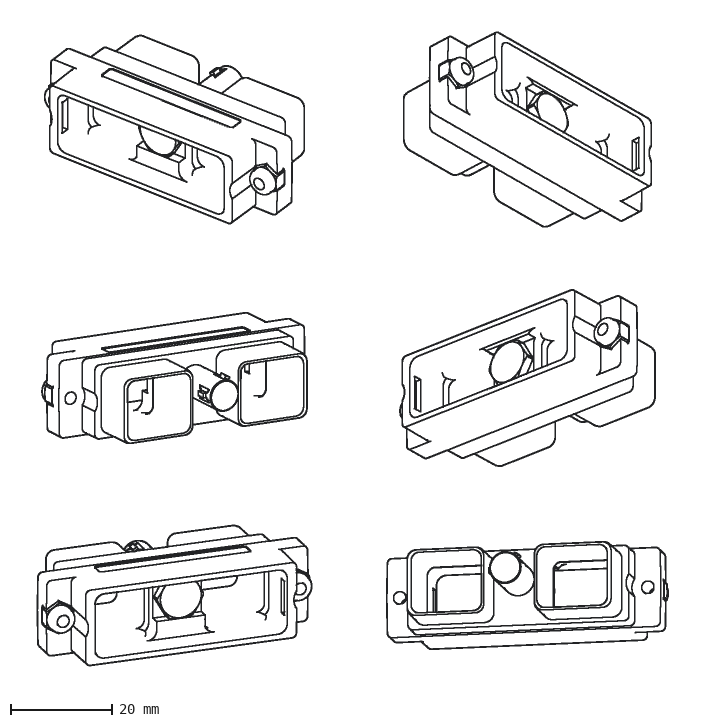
import cadquery as cq
import math


wall_front_y = 5.7
recess_floor_y = 7.75
ear_front_y = 7.7
ear_back_y = 12.7
shoulder_back_y = 17.75
tower_tip_y = 25.9
tower_back_y = 26.6
post_back_y = 30.35

body_half_height = 7.965
shoulder_half_height = 7.6
body_corner_radius = 1.0
body_half_width = 22.35
ear_half_width = 27.65
draft_angle = 1
draft_slope = math.tan(math.radians(draft_angle))

tower_inner_x = 4.95
tower_outer_x = 20.85
tower_half_height = 6.75
tower_corner_radius = 1.95
tower_tip_taper = 15

cavity_half_width = 20.25
cavity_half_height = 6.75
cavity_corner_radius = 1.95
tunnel_inner_x = 5.1
tunnel_center_x = (cavity_half_width + tunnel_inner_x) / 2
tunnel_half_width = (cavity_half_width - tunnel_inner_x) / 2
floor_ramp_y = 7.95
floor_land_y = 9.45
tunnel_taper_y = 10.15
tunnel_bore_y = 11.25
land_half_height = 6.45
bore_inset = 0.5
bore_half_height = 6.1
bore_corner_radius = 1.65

slot_front_y = 1.55
slot_back_y = 3.3
slot_depth = 1.15
slot_half_height = 3.6

bolt_z = 1.5
head_across_flats = 8.6
head_chamfer_width = 0.55
head_chamfer_depth = 0.3
recess_half_height = 4.45
post_radius = 3.15
post_edge_chamfer = 0.15
pin_angles = (0, 120)
pin_y = 27.25
pin_width = 0.95
pin_length = 2.0
pin_tip_radius = 3.7
pin_flat_radius = 2.86
pin_flat_half_width = 1.4
pin_flat_half_length = 2.0
pin_flat_root_half_length = 1.2

fastener_x = 25.0
fastener_hole_radius = 1.25
nut_across_flats = 5.5
nut_pocket_across_flats = 6.0
nut_back_y = 10.05
flange_back_y = 7.1
flange_front_y = 5.2
flange_radius = nut_across_flats / 2
flange_round = 1.0
nut_chamfer_angle = 30
clearance_radius = 3.15

label_length = 31.95
label_width = 3.35
label_center_y = 10.2
label_corner_radius = 0.5
label_depth = 0.2


def plane_at(y, x=0, z=0):
    """Sketch plane facing +Y; its local x is -X, its local y is Z."""
    return cq.Workplane(cq.Plane(origin=(x, y, z), xDir=(-1, 0, 0), normal=(0, 1, 0)))


def box(x0, x1, y0, y1, z0, z1):
    return cq.Workplane("XY").box(x1 - x0, y1 - y0, z1 - z0, centered=False).translate((x0, y0, z0))


def both_sides(shape):
    return shape.union(shape.mirror("YZ"))


def rounded_plan(points, half_height, radius):
    """Plan outline extruded about z = 0 with its long slanted or Y edges rounded."""
    block = cq.Workplane("XY").workplane(offset=-half_height).polyline(points).close()
    return block.extrude(2 * half_height).edges("not (|X or |Z)").fillet(radius)


def drafted_block(wide_y, narrow_y, half_height):
    """Body section that narrows away from the ears."""
    narrow_half_width = body_half_width - draft_slope * abs(narrow_y - wide_y)
    points = [
        (-body_half_width, wide_y),
        (body_half_width, wide_y),
        (narrow_half_width, narrow_y),
        (-narrow_half_width, narrow_y),
    ]
    return rounded_plan(points, half_height, body_corner_radius)


def ears():
    """Flange with side faces drafted from a parting line at z = 0."""
    corner_x = ear_half_width - draft_slope * body_half_height
    points = [
        (ear_half_width, 0),
        (corner_x, body_half_height),
        (-corner_x, body_half_height),
        (-ear_half_width, 0),
        (-corner_x, -body_half_height),
        (corner_x, -body_half_height),
    ]
    block = plane_at(ear_front_y).polyline(points).close().extrude(ear_back_y - ear_front_y)
    return block.faces(">Z or <Z").edges("|Y").fillet(body_corner_radius)


def tower():
    """Tower on the +X side, before its tunnel is cut."""
    tip_outer_x = tower_outer_x - draft_slope * (tower_tip_y - shoulder_back_y)
    points = [
        (tower_inner_x, shoulder_back_y),
        (tower_outer_x, shoulder_back_y),
        (tip_outer_x, tower_tip_y),
        (tower_inner_x, tower_tip_y),
    ]
    shaft = rounded_plan(points, tower_half_height, tower_corner_radius)
    tip = shaft.faces(">Y").wires().toPending().workplane().extrude(
        tower_back_y - tower_tip_y, taper=tower_tip_taper, combine=False
    )
    return shaft.union(tip)


def tunnel_segment(start_y, end_y, half_width, half_height, radius):
    segment = plane_at(start_y, x=tunnel_center_x).rect(2 * half_width, 2 * half_height)
    return segment.extrude(end_y - start_y).edges("|Y").fillet(radius)


def tunnel():
    """Passage through the +X tower: a wide mouth tapering to a straight bore, with ramped floor and roof."""
    mouth = tunnel_segment(0, tunnel_taper_y, tunnel_half_width, cavity_half_height, cavity_corner_radius)
    bore_half_width = tunnel_half_width - bore_inset
    bore = tunnel_segment(tunnel_bore_y, tower_back_y, bore_half_width, bore_half_height, bore_corner_radius)
    taper_ends = [mouth.faces(">Y").wires().val(), bore.faces("<Y").wires().val()]
    taper = cq.Workplane(cq.Solid.makeLoft(taper_ends, True))
    roof = [
        (0, cavity_half_height),
        (floor_ramp_y, cavity_half_height),
        (floor_land_y, land_half_height),
        (tunnel_taper_y, land_half_height),
        (tunnel_bore_y, bore_half_height),
        (tower_back_y, bore_half_height),
    ]
    floor = [(y, -z) for y, z in reversed(roof)]
    side_profile = cq.Workplane("YZ").polyline(roof + floor).close().extrude(cavity_half_width)
    return mouth.union(taper).union(bore).intersect(side_profile)


def front_cavity():
    cavity = plane_at(0).rect(2 * cavity_half_width, 2 * cavity_half_height).extrude(wall_front_y)
    return cavity.edges("|Y").fillet(cavity_corner_radius)


def latch_slot():
    return box(
        cavity_half_width - 0.55, cavity_half_width + slot_depth,
        slot_front_y, slot_back_y,
        -slot_half_height, slot_half_height,
    )


def bolt_recess():
    return box(
        -tunnel_center_x, tunnel_center_x,
        wall_front_y, recess_floor_y,
        bolt_z - recess_half_height, bolt_z + recess_half_height,
    )


def hexagon(y, across_flats, depth, x=0, z=0, turn=0):
    prism = plane_at(y, x, z).polygon(6, across_flats / math.cos(math.pi / 6)).extrude(depth)
    return prism.rotate((x, 0, z), (x, 1, z), turn)


def turned(profile, x, z):
    """Solid of revolution from (radius, y) points about a Y axis at (x, z)."""
    solid = cq.Workplane("XY").polyline(profile).close().revolve(360, (0, 0, 0), (0, 1, 0))
    return solid.translate((x, 0, z))


def bolt_head():
    flat_radius = head_across_flats / 2
    cone_radius = flat_radius + head_chamfer_width
    envelope = turned([
        (0, wall_front_y),
        (flat_radius, wall_front_y),
        (cone_radius, wall_front_y + head_chamfer_depth),
        (cone_radius, recess_floor_y),
        (0, recess_floor_y),
    ], 0, bolt_z)
    head = hexagon(wall_front_y, head_across_flats, recess_floor_y - wall_front_y, z=bolt_z)
    return head.intersect(envelope)


def post():
    shaft = plane_at(shoulder_back_y, z=bolt_z).circle(post_radius)
    shaft = shaft.extrude(post_back_y - shoulder_back_y).faces(">Y").chamfer(post_edge_chamfer)
    half_pin = pin_length / 2
    for angle in pin_angles:
        for side in (-1, 1):
            flat = cq.Workplane("YZ", origin=(pin_flat_radius, pin_y, bolt_z)).polyline([
                (-pin_flat_root_half_length, side * pin_width / 2),
                (pin_flat_root_half_length, side * pin_width / 2),
                (pin_flat_half_length, side * pin_flat_half_width),
                (-pin_flat_half_length, side * pin_flat_half_width),
            ]).close().extrude(post_radius)
            shaft = shaft.cut(flat.rotate((0, 0, bolt_z), (0, 1, bolt_z), -angle))
        pin = box(
            0, pin_tip_radius,
            pin_y - half_pin, pin_y + half_pin,
            bolt_z - pin_width / 2, bolt_z + pin_width / 2,
        )
        shaft = shaft.union(pin.rotate((0, 0, bolt_z), (0, 1, bolt_z), -angle))
    return shaft


def nut_pocket():
    depth = nut_back_y - ear_front_y
    return hexagon(ear_front_y, nut_pocket_across_flats, depth, x=fastener_x, turn=30)


def clearance(end_y):
    """Round relief along a drafted body side, from inside the ear past the given end."""
    start_y = (ear_front_y + ear_back_y) / 2
    direction = math.copysign(1, end_y - start_y)
    length = abs(end_y - start_y) + 0.55
    relief = plane_at(start_y, x=fastener_x).circle(clearance_radius).extrude(direction * length)
    pivot = (fastener_x, start_y, 0)
    return relief.rotate(pivot, (fastener_x, start_y, 1), direction * draft_angle)


def nut():
    """Hexagonal nut with a rounded flange in front of it."""
    corner_radius = flange_radius / math.cos(math.pi / 6)
    chamfer_length = (corner_radius - flange_radius) * math.tan(math.radians(nut_chamfer_angle))
    envelope = turned([
        (0, flange_back_y),
        (flange_radius, flange_back_y),
        (corner_radius, flange_back_y + chamfer_length),
        (corner_radius, nut_back_y),
        (0, nut_back_y),
    ], fastener_x, 0)
    hex_part = hexagon(
        flange_back_y, nut_across_flats, nut_back_y - flange_back_y, x=fastener_x, turn=30
    ).intersect(envelope)
    flange = plane_at(flange_front_y, x=fastener_x).circle(flange_radius)
    flange = flange.extrude(flange_back_y - flange_front_y).faces("<Y").edges().fillet(flange_round)
    return hex_part.union(flange)


def fastener_hole():
    return plane_at(0, x=fastener_x).circle(fastener_hole_radius).extrude(shoulder_back_y)


def label_recess():
    pocket = cq.Workplane("XY", origin=(0, label_center_y, body_half_height - label_depth))
    pocket = pocket.rect(label_length, label_width).extrude(2 * label_depth)
    return pocket.edges("|Z").fillet(label_corner_radius)


shell = (
    drafted_block(ear_front_y, 0, body_half_height)
    .union(drafted_block(ear_back_y, shoulder_back_y, shoulder_half_height))
    .cut(both_sides(clearance(0)))
    .cut(both_sides(clearance(shoulder_back_y)))
    .union(ears())
    .cut(both_sides(nut_pocket()))
    .union(both_sides(tower()))
    .cut(both_sides(tunnel()))
    .cut(front_cavity())
    .cut(both_sides(latch_slot()))
    .cut(bolt_recess())
    .cut(label_recess())
)

result = (
    shell
    .union(bolt_head())
    .union(post())
    .union(both_sides(nut()))
    .cut(both_sides(fastener_hole()))
)